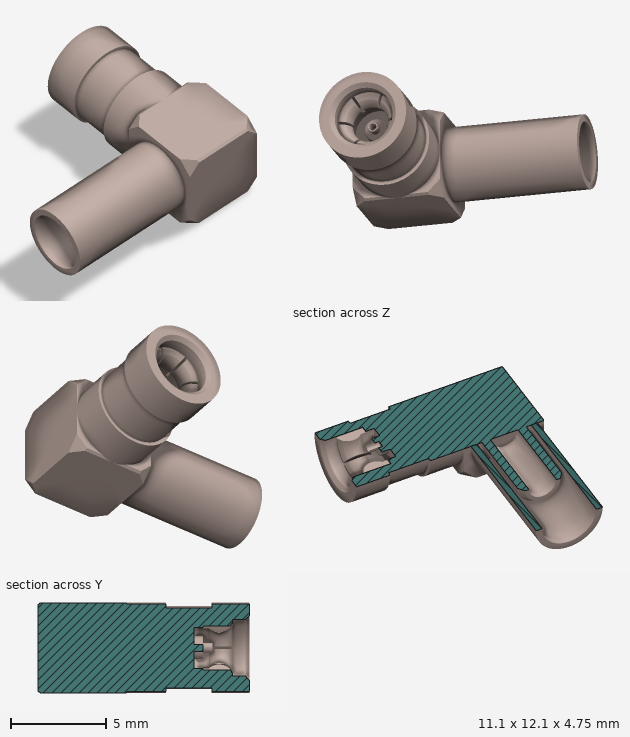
import cadquery as cq

BLOCK = 4.75
CORNER_CUT = 0.76
EDGE_CUT_X = 0.15
EDGE_CUT_Z = 0.11

BARREL_RADIUS = BLOCK / 2
NECK_RADIUS = 2.18
COLLAR_LENGTH = 2.0
NECK_LENGTH = 2.36
BARREL_LENGTH = 6.35

MOUTH_RADIUS = 1.8
BORE_RADIUS = 1.58
MOUTH_DEPTH = 0.22
COLLET_DEPTH = 0.9
COLLET_LIP_RADIUS = 1.45
COLLET_BORE_RADIUS = 1.21
LEAD_IN_LENGTH = 0.15
BUMP_CREST_RADIUS = 0.98
BUMP_LENGTH = 1.09
FLOOR_DEPTH = 2.91

SLOT_COUNT = 6
SLOT_WIDTH = 0.15
SLOT_END_DEPTH = 2.42

INSULATOR_RADIUS = 0.6
INSULATOR_HEIGHT = 0.48
INSULATOR_BEVEL = 0.04
CONTACT_RADIUS = 0.25
CONTACT_HEIGHT = 0.97
SOCKET_RADIUS = 0.19
SOCKET_DEPTH = 0.73

SPIGOT_RADIUS = 1.32
SPIGOT_TIP_RADIUS = 1.04
SPIGOT_LENGTH = 4.36
SPIGOT_TAPER_LENGTH = 0.36
CABLE_BORE_RADIUS = 0.81

SLEEVE_RADIUS = 1.98
SLEEVE_BORE_RADIUS = 1.6
TOTAL_LENGTH_Y = 12.12
SLEEVE_LENGTH = TOTAL_LENGTH_Y - BLOCK

HALF = BLOCK / 2
BARREL_END = -HALF - BARREL_LENGTH


def revolved_along_x(profile):
    """Solid swept by an outline of (x, radius) points about the X axis."""
    return cq.Workplane("XZ").polyline(profile).close().revolve(360, (0, 0), (1, 0))


def corner_wedge():
    """Tetrahedron at the (+X, +Y, +Z) corner of the block, with three equal legs."""
    corner = cq.Vector(HALF, HALF, HALF)
    x_end = corner - cq.Vector(CORNER_CUT, 0, 0)
    y_end = corner - cq.Vector(0, CORNER_CUT, 0)
    z_end = corner - cq.Vector(0, 0, CORNER_CUT)
    triangles = [
        [corner, x_end, y_end],
        [corner, y_end, z_end],
        [corner, z_end, x_end],
        [x_end, y_end, z_end],
    ]
    faces = [cq.Face.makeFromWires(cq.Wire.makePolygon(points, close=True)) for points in triangles]
    return cq.Workplane(cq.Solid.makeSolid(cq.Shell.makeShell(faces)))


def make_block():
    """Cube with four bevelled edges and all eight corners cut off."""
    block = (
        cq.Workplane("XY")
        .box(BLOCK, BLOCK, BLOCK)
        .faces(">Z or <Z")
        .edges("|Y")
        .chamfer(EDGE_CUT_Z, EDGE_CUT_X)
    )
    upper_wedge = corner_wedge()
    lower_wedge = upper_wedge.mirror("XY")
    for quarter_turn in (0, 90, 180, 270):
        for wedge in (upper_wedge, lower_wedge):
            block = block.cut(wedge.rotate((0, 0, 0), (0, 0, 1), quarter_turn))
    return block


def make_barrel():
    """Solid barrel: two full-width collars with a thinner neck between them."""
    neck_start = BARREL_END + COLLAR_LENGTH
    neck_end = neck_start + NECK_LENGTH
    return revolved_along_x([
        (BARREL_END, 0),
        (BARREL_END, BARREL_RADIUS),
        (neck_start, BARREL_RADIUS),
        (neck_start, NECK_RADIUS),
        (neck_end, NECK_RADIUS),
        (neck_end, BARREL_RADIUS),
        (-HALF + EDGE_CUT_X, BARREL_RADIUS),
        (-HALF + EDGE_CUT_X, 0),
    ])


def make_bore():
    """Empty space inside the collet, before it is slotted."""
    collet_face = BARREL_END + COLLET_DEPTH
    bump_start = collet_face + LEAD_IN_LENGTH
    bump_end = bump_start + BUMP_LENGTH
    floor = BARREL_END + FLOOR_DEPTH
    return (
        cq.Workplane("XZ")
        .moveTo(BARREL_END, 0)
        .lineTo(BARREL_END, MOUTH_RADIUS)
        .lineTo(BARREL_END + MOUTH_DEPTH, BORE_RADIUS)
        .lineTo(collet_face, BORE_RADIUS)
        .lineTo(collet_face, COLLET_LIP_RADIUS)
        .lineTo(bump_start, COLLET_BORE_RADIUS)
        .threePointArc(((bump_start + bump_end) / 2, BUMP_CREST_RADIUS), (bump_end, COLLET_BORE_RADIUS))
        .lineTo(floor, COLLET_BORE_RADIUS)
        .lineTo(floor, 0)
        .close()
        .revolve(360, (0, 0), (1, 0))
    )


def cut_slots(body):
    """Slot the collet; each flat cut across the axis opens two opposite slots."""
    for i in range(SLOT_COUNT // 2):
        flat_cut = (
            cq.Workplane("YZ", origin=(BARREL_END + COLLET_DEPTH, 0, 0))
            .rect(2 * BORE_RADIUS, SLOT_WIDTH)
            .extrude(SLOT_END_DEPTH - COLLET_DEPTH)
            .rotate((0, 0, 0), (1, 0, 0), i * 360 / SLOT_COUNT)
        )
        body = body.cut(flat_cut)
    return body


def make_contact():
    """Insulator boss with the hollow contact in its centre."""
    floor = BARREL_END + FLOOR_DEPTH
    insulator_face = floor - INSULATOR_HEIGHT
    contact_tip = floor - CONTACT_HEIGHT
    socket_end = contact_tip + SOCKET_DEPTH
    return revolved_along_x([
        (floor, 0),
        (floor, INSULATOR_RADIUS),
        (insulator_face + INSULATOR_BEVEL, INSULATOR_RADIUS),
        (insulator_face, INSULATOR_RADIUS - INSULATOR_BEVEL),
        (insulator_face, CONTACT_RADIUS),
        (contact_tip, CONTACT_RADIUS),
        (contact_tip, SOCKET_RADIUS),
        (socket_end, SOCKET_RADIUS),
        (socket_end, 0),
    ])


def make_spigot():
    """Tube with a tapered tip, inside the crimp sleeve."""
    root = -HALF
    tip = root - SPIGOT_LENGTH
    taper_start = tip + SPIGOT_TAPER_LENGTH
    return (
        cq.Workplane("XY")
        .polyline([
            (CABLE_BORE_RADIUS, root),
            (SPIGOT_RADIUS, root),
            (SPIGOT_RADIUS, taper_start),
            (SPIGOT_TIP_RADIUS, tip),
            (CABLE_BORE_RADIUS, tip),
        ])
        .close()
        .revolve(360, (0, 0), (0, 1))
    )


def make_housing():
    """Block, slotted barrel, contact and spigot as one body."""
    shell = make_block().union(make_barrel()).cut(make_bore())
    return cut_slots(shell).union(make_contact()).union(make_spigot())


def make_sleeve():
    """Crimp tube that stands on the -Y face of the block."""
    return (
        cq.Workplane("XZ", origin=(0, -HALF, 0))
        .circle(SLEEVE_RADIUS)
        .circle(SLEEVE_BORE_RADIUS)
        .extrude(SLEEVE_LENGTH)
    )


housing = make_housing()
sleeve = make_sleeve()
result = cq.Compound.makeCompound([housing.val(), sleeve.val()])